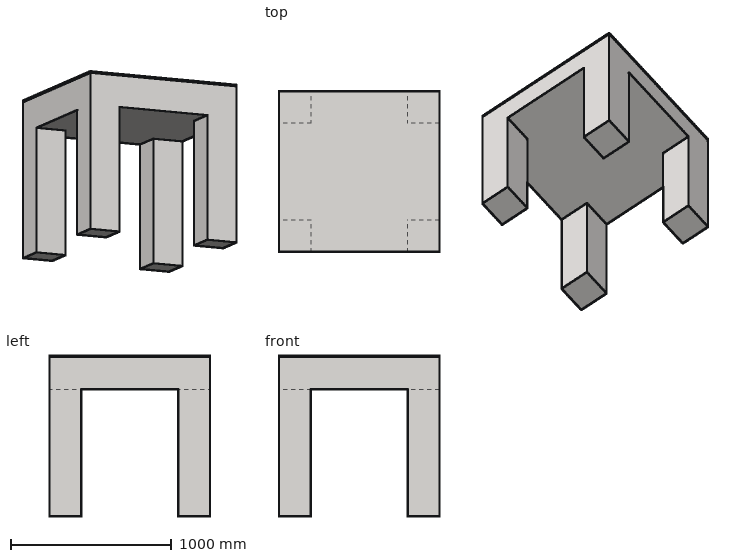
import cadquery as cq

table_side = 1000.0
table_height = 1000.0
top_thickness = 10.0
leg_side = 200.0
apron_depth = 200.0

base_height = table_height - top_thickness
opening_width = table_side - 2 * leg_side
opening_height = base_height - apron_depth


def make_base():
    """Square block with a passage cut through along X and along Y, leaving four corner legs."""
    block = cq.Workplane("XY").box(table_side, table_side, base_height, centered=(True, True, False))
    passage_along_x = cq.Workplane("XY").box(
        table_side, opening_width, opening_height, centered=(True, True, False)
    )
    passage_along_y = cq.Workplane("XY").box(
        opening_width, table_side, opening_height, centered=(True, True, False)
    )
    return block.cut(passage_along_x).cut(passage_along_y)


def make_table_top():
    """Thin square plate resting on the base, flush with its sides."""
    return (
        cq.Workplane("XY")
        .workplane(offset=base_height)
        .box(table_side, table_side, top_thickness, centered=(True, True, False))
    )


base = make_base()
table_top = make_table_top()

result = cq.Compound.makeCompound([base.solids().val(), table_top.val()])